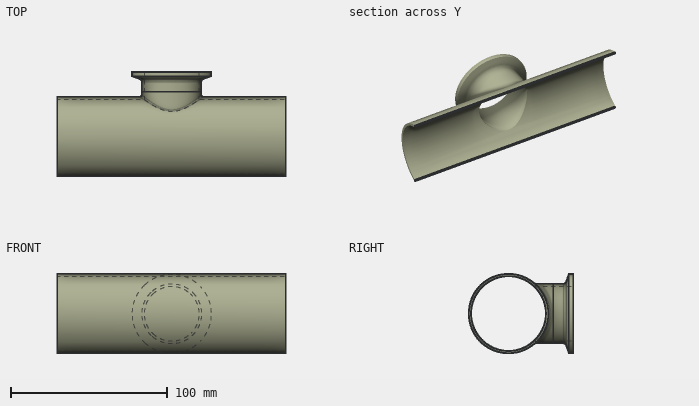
import cadquery as cq
import math

tube_length = 146.0
tube_radius = 25.4
wall = 1.6

branch_radius = 19.05
branch_bore_radius = branch_radius - wall
junction_fillet = 1.0

ferrule_face_y = 41.3
ferrule_length = 12.7
ferrule_radius = 25.3
rim_thickness = 2.8
clamp_angle = 20.0
neck_fillet = 1.8

edge_margin = 0.1

joint_y = ferrule_face_y - ferrule_length
rim_back_y = ferrule_face_y - rim_thickness
cone_foot_y = rim_back_y - (ferrule_radius - branch_radius) * math.tan(math.radians(clamp_angle))


def branch_cylinder(radius):
    """Cylinder along Y from the tube axis to the joint with the ferrule."""
    return cq.Workplane("XZ").circle(radius).extrude(-joint_y)


def make_tee():
    """Main tube with a hollow branch blended into its side."""
    run = cq.Workplane("YZ").circle(tube_radius).extrude(tube_length / 2, both=True)
    tee = run.union(branch_cylinder(branch_radius))

    junction_zone = cq.selectors.BoxSelector(
        (-tube_radius, 0, -tube_radius),
        (tube_radius, joint_y - edge_margin, tube_radius),
        boundingbox=True,
    )
    tee = tee.edges(junction_zone).fillet(junction_fillet)

    run_bore = cq.Workplane("YZ").circle(tube_radius - wall).extrude(tube_length / 2, both=True)
    return tee.cut(run_bore).cut(branch_cylinder(branch_bore_radius))


def make_ferrule():
    """Revolved clamp ferrule with a sloped rim back and a rounded neck."""
    profile = (
        cq.Workplane("XY")
        .moveTo(branch_bore_radius, joint_y)
        .lineTo(branch_radius, joint_y)
        .lineTo(branch_radius, cone_foot_y)
        .lineTo(ferrule_radius, rim_back_y)
        .lineTo(ferrule_radius, ferrule_face_y)
        .lineTo(branch_bore_radius, ferrule_face_y)
        .close()
    )
    ferrule = profile.revolve(360, (0, 0, 0), (0, 1, 0))
    neck_edge = cq.selectors.BoxSelector(
        (-tube_radius, cone_foot_y - edge_margin, -tube_radius),
        (tube_radius, cone_foot_y + edge_margin, tube_radius),
        boundingbox=True,
    )
    return ferrule.edges(neck_edge).fillet(neck_fillet)


tee = make_tee()
ferrule = make_ferrule()

result = cq.Compound.makeCompound([tee.solids().val(), ferrule.solids().val()])